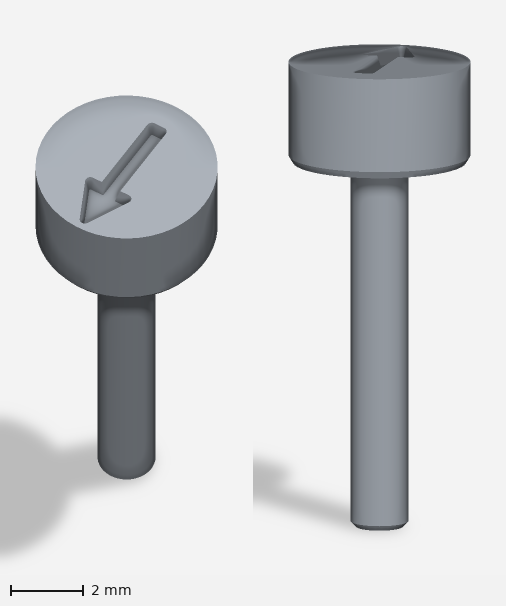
import cadquery as cq
import math

total_height = 13.0
head_radius = 5.0 / 2
head_height = 2.8
head_chamfer_width = 0.12
head_chamfer_height = 0.2
pin_radius = 1.6 / 2
pin_chamfer = 0.15

arrow_depth = 0.4
wall_taper = 15.0
corner_radius = 0.14
shaft_half_width = 0.3
shaft_end_y = 1.7
shaft_overlap = 0.52
barb_y = -0.8
barb_half_width = 0.8
point_half_angle = 25.5
tip_y = barb_y - barb_half_width / math.tan(math.radians(point_half_angle))


def make_body():
    """Head and pin, turned about Z, with both lower edges chamfered."""
    head_bottom = total_height - head_height
    profile = [
        (0, 0),
        (pin_radius - pin_chamfer, 0),
        (pin_radius, pin_chamfer),
        (pin_radius, head_bottom),
        (head_radius - head_chamfer_width, head_bottom),
        (head_radius, head_bottom + head_chamfer_height),
        (head_radius, total_height),
        (0, total_height),
    ]
    return cq.Workplane("XZ").polyline(profile).close().revolve(360, (0, 0), (0, 1))


def tapered_cutter(corners):
    """Polygon with rounded corners, tapering down from the top face."""
    outline = cq.Sketch().polygon(corners + corners[:1]).vertices().fillet(corner_radius)
    top = cq.Workplane("XY").workplane(offset=total_height)
    return top.placeSketch(outline).extrude(-arrow_depth, taper=wall_taper)


def make_arrow():
    """Shaft and arrowhead joined, leaving the corners between them sharp."""
    shaft_bottom_y = barb_y - shaft_overlap
    shaft = tapered_cutter([
        (-shaft_half_width, shaft_bottom_y),
        (shaft_half_width, shaft_bottom_y),
        (shaft_half_width, shaft_end_y),
        (-shaft_half_width, shaft_end_y),
    ])
    arrowhead = tapered_cutter([
        (0, tip_y),
        (barb_half_width, barb_y),
        (-barb_half_width, barb_y),
    ])
    return shaft.union(arrowhead)


result = make_body().cut(make_arrow())